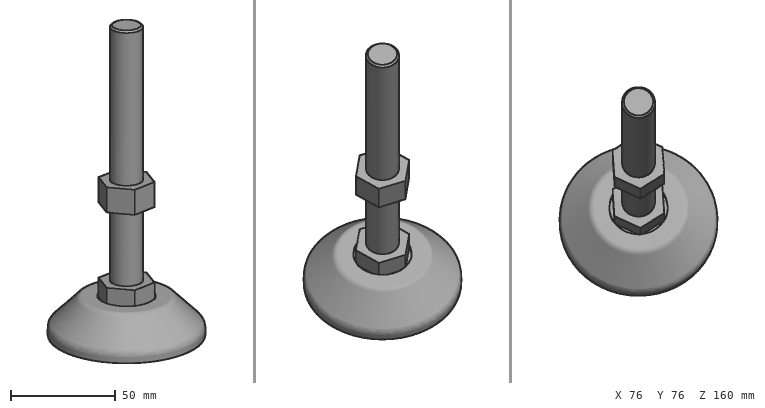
import cadquery as cq
import math

TOTAL_HEIGHT = 160.0

BASE_DIAMETER = 76.0
BASE_HEIGHT = 20.0
RIM_HEIGHT = 5.0
CONE_ANGLE = 45.0
BASE_FILLET = 4.0

SOCKET_DIAMETER = 28.0
SOCKET_DEPTH = 2.0

ACROSS_FLATS = 24.0
HEX_HEIGHT = 10.0
LOCK_NUT_BOTTOM = 67.0
LOCK_NUT_HEIGHT = 13.0

STUD_DIAMETER = 16.0
STUD_CHAMFER = 1.0

base_radius = BASE_DIAMETER / 2
cone_run = (BASE_HEIGHT - RIM_HEIGHT) / math.tan(math.radians(CONE_ANGLE))
base_top_radius = base_radius - cone_run
socket_floor = BASE_HEIGHT - SOCKET_DEPTH


def make_base():
    """Conical plate with rounded shoulders and a round socket in its top."""
    profile = [
        (0, 0),
        (base_radius, 0),
        (base_radius, RIM_HEIGHT),
        (base_top_radius, BASE_HEIGHT),
        (0, BASE_HEIGHT),
    ]
    body = cq.Workplane("XZ").polyline(profile).close().revolve(360, (0, 0, 0), (0, 1, 0))
    body = body.edges("%CIRCLE").edges("not <Z").fillet(BASE_FILLET)
    socket = cq.Workplane("XY").workplane(offset=socket_floor)
    socket = socket.circle(SOCKET_DIAMETER / 2).extrude(SOCKET_DEPTH)
    return body.cut(socket)


def make_hexagon(bottom, height):
    """Hexagonal prism with two corners on the X axis."""
    across_corners = ACROSS_FLATS / math.cos(math.pi / 6)
    return cq.Workplane("XY").workplane(offset=bottom).polygon(6, across_corners).extrude(height)


def make_stud():
    """Plain round stud standing on the socket floor, chamfered at its tip."""
    stud = cq.Workplane("XY").workplane(offset=socket_floor)
    stud = stud.circle(STUD_DIAMETER / 2).extrude(TOTAL_HEIGHT - socket_floor)
    return stud.faces(">Z").edges().chamfer(STUD_CHAMFER)


fixed_hexagon = make_hexagon(socket_floor, HEX_HEIGHT)
lock_nut = make_hexagon(LOCK_NUT_BOTTOM, LOCK_NUT_HEIGHT)

result = make_base().union(fixed_hexagon).union(make_stud()).union(lock_nut)